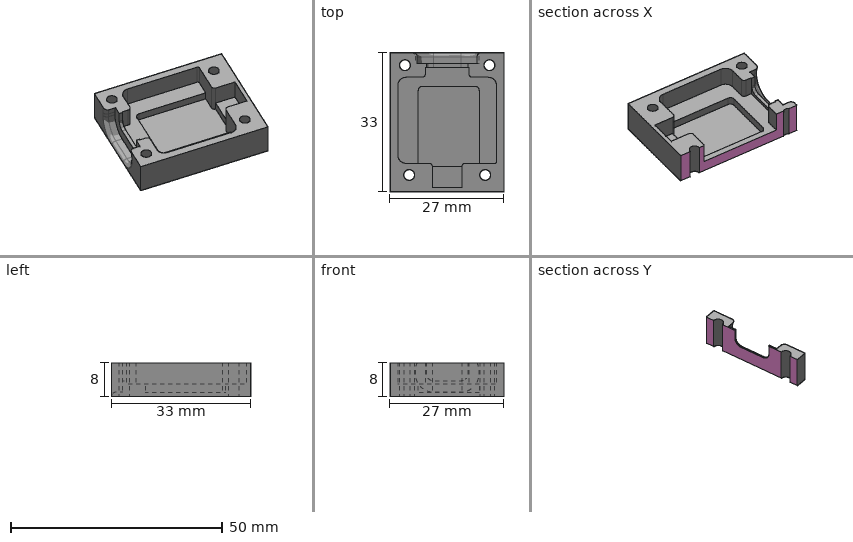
import cadquery as cq

WIDTH = 27.0
LENGTH = 33.0
HEIGHT = 8.0

SCREW_DIAMETER = 2.5
SCREW_PAIRS = [(9.0, 4.0), (10.0, 30.0)]

FLOOR_Z = 3.0
POCKET_HALF_WIDTH = 11.7
POCKET_FRONT_Y = 6.75
POCKET_REAR_Y = 27.15
POCKET_CORNER_RADIUS = 2.0
TIGHT_CORNER_RADIUS = 0.4

NECK_HALF_WIDTH = 5.15
NECK_REAR_Y = 29.45
NECK_CORNER_RADIUS = 0.8

SLOT_HALF_WIDTH = 3.5
SLOT_FRONT_Y = 1.0
SLOT_CORNER_RADIUS = 0.75

DEEP_FLOOR_Z = 1.0
DEEP_LEFT_X = -6.85
DEEP_RIGHT_X = 7.6
DEEP_FRONT_Y = POCKET_FRONT_Y - SLOT_CORNER_RADIUS
DEEP_REAR_Y = 25.0
DEEP_CORNER_RADIUS = 1.0

PORT_ARC_X = 3.25
OPENING_RADIUS = 1.7
OPENING_ARC_Z = 5.45
RECESS_RADIUS = 4.25
RECESS_LOWER_ARC_Z = 5.3
RECESS_UPPER_ARC_Z = 6.2
RECESS_FRONT_Y = 30.35
RECESS_MOUTH_RADIUS = 1.0


def box_between(x_min, x_max, y_min, y_max, z_min):
    """Box from z_min up to the top face."""
    return (
        cq.Workplane("XY")
        .box(x_max - x_min, y_max - y_min, HEIGHT - z_min, centered=False)
        .translate((x_min, y_min, z_min))
    )


def vertical_edges_at(x, y):
    """Selector for the vertical edge standing at (x, y)."""
    reach = 0.01
    return cq.selectors.BoxSelector(
        (x - reach, y - reach, 0),
        (x + reach, y + reach, HEIGHT),
    )


def pocket_cutter(floor_z):
    """Main pocket, neck and slot as one cutter with rounded vertical corners."""
    cutter = box_between(
        -POCKET_HALF_WIDTH, POCKET_HALF_WIDTH, POCKET_FRONT_Y, POCKET_REAR_Y, floor_z
    )
    cutter = cutter.union(
        box_between(-NECK_HALF_WIDTH, NECK_HALF_WIDTH, POCKET_FRONT_Y, NECK_REAR_Y, floor_z)
    )
    cutter = cutter.union(
        box_between(-SLOT_HALF_WIDTH, SLOT_HALF_WIDTH, SLOT_FRONT_Y, POCKET_REAR_Y, floor_z)
    ).clean()

    corners = [
        (-POCKET_HALF_WIDTH, POCKET_FRONT_Y, POCKET_CORNER_RADIUS),
        (POCKET_HALF_WIDTH, POCKET_FRONT_Y, TIGHT_CORNER_RADIUS),
    ]
    for side in (-1, 1):
        corners += [
            (side * POCKET_HALF_WIDTH, POCKET_REAR_Y, POCKET_CORNER_RADIUS),
            (side * NECK_HALF_WIDTH, POCKET_REAR_Y, NECK_CORNER_RADIUS),
            (side * SLOT_HALF_WIDTH, POCKET_FRONT_Y, SLOT_CORNER_RADIUS),
        ]
    for x, y, radius in corners:
        cutter = cutter.edges(vertical_edges_at(x, y)).fillet(radius)
    return cutter


def deep_pocket_cutter():
    """Deeper pocket, kept within the outline of the main pocket."""
    cutter = box_between(DEEP_LEFT_X, DEEP_RIGHT_X, DEEP_FRONT_Y, DEEP_REAR_Y, DEEP_FLOOR_Z)
    cutter = cutter.edges("|Z and >Y").fillet(DEEP_CORNER_RADIUS)
    return cutter.intersect(pocket_cutter(DEEP_FLOOR_Z))


def opening_cutter():
    """U-shaped opening with quarter-round lower corners, from the neck to the rear face."""
    half_width = PORT_ARC_X + OPENING_RADIUS
    cutter = box_between(
        -half_width, half_width, NECK_REAR_Y, LENGTH, OPENING_ARC_Z - OPENING_RADIUS
    )
    return cutter.edges("|Y and <Z").fillet(OPENING_RADIUS)


def recess_cutter():
    """Rounded plug recess running into the rear face."""
    height = RECESS_UPPER_ARC_Z - RECESS_LOWER_ARC_Z + 2 * RECESS_RADIUS
    middle_z = (RECESS_LOWER_ARC_Z + RECESS_UPPER_ARC_Z) / 2
    middle_y = (RECESS_FRONT_Y + LENGTH) / 2
    return (
        cq.Workplane("XY", origin=(0, middle_y, middle_z))
        .box(2 * (PORT_ARC_X + RECESS_RADIUS), LENGTH - RECESS_FRONT_Y, height)
        .edges("|Y")
        .fillet(RECESS_RADIUS)
    )


def round_recess_mouth(body):
    """Round the edge where the plug recess meets the rear face."""
    reach = PORT_ARC_X + RECESS_RADIUS
    margin = 0.1
    mouth = cq.selectors.BoxSelector(
        (-reach - margin, LENGTH - margin, RECESS_LOWER_ARC_Z - RECESS_RADIUS - margin),
        (reach + margin, LENGTH + margin, HEIGHT - margin),
    )
    return body.edges(mouth).fillet(RECESS_MOUTH_RADIUS)


def screw_holes():
    """Through holes for the four screws."""
    centres = [(side * x, y) for x, y in SCREW_PAIRS for side in (-1, 1)]
    return cq.Workplane("XY").pushPoints(centres).circle(SCREW_DIAMETER / 2).extrude(HEIGHT)


body = box_between(-WIDTH / 2, WIDTH / 2, 0, LENGTH, 0)
body = body.cut(recess_cutter())
body = round_recess_mouth(body)
body = body.cut(opening_cutter())
body = body.cut(pocket_cutter(FLOOR_Z))
body = body.cut(deep_pocket_cutter())
result = body.cut(screw_holes())